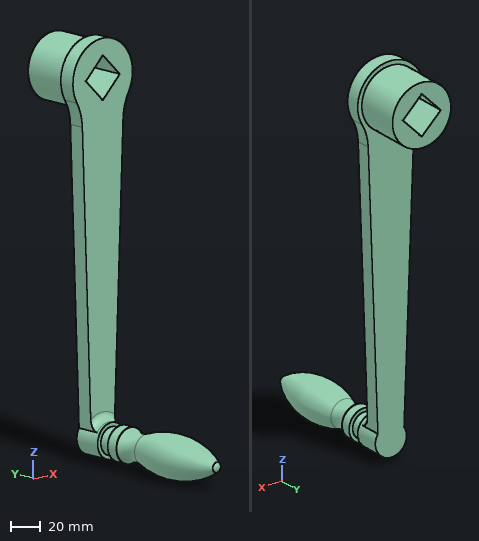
import cadquery as cq
import math


ARM_THICKNESS = 12.0
HEAD_RADIUS = 27.45
CRANK_LENGTH = 250.0
ARM_TOP_HALF_WIDTH = 20.0
ARM_END_HALF_WIDTH = 10.5
HEAD_BLEND_RADIUS = 38.1
HUB_RADIUS = 24.0
HUB_LENGTH = 36.0
SQUARE_SIDE = 22.0

BOSS_RADIUS = 13.0
BOSS_DEPTH = 20.8
BOSS_BLEND_RADIUS = 6.0

NECK_RADIUS = 10.0
COLLAR_RADIUS = BOSS_RADIUS
COLLAR_START = 30.8
COLLAR_END = 39.3
WAIST_DEPTH = 49.0
WAIST_ARC_RADIUS = 18.8
GRIP_START = 55.2
GRIP_MAX_DEPTH = 82.8
GRIP_MAX_RADIUS = 16.0
TIP_START = 125.0
HANDLE_END = 126.5


def arc_drop(arc_radius, distance):
    """Sideways departure of an arc at a distance along its tangent."""
    return arc_radius - math.sqrt(arc_radius**2 - distance**2)


def tapered_bar(depth):
    """Tapered bar from the hub axis down to the handle axis."""
    top = ARM_TOP_HALF_WIDTH
    end = ARM_END_HALF_WIDTH
    points = [(-top, 0), (top, 0), (end, -CRANK_LENGTH), (-end, -CRANK_LENGTH)]
    return cq.Workplane("XZ").polyline(points).close().extrude(depth)


def revolve_about_handle_axis(profile):
    """Revolve a (radius, -depth) profile and move it to the handle axis."""
    return profile.close().revolve(360, (0, 0), (0, 1)).translate((0, 0, -CRANK_LENGTH))


def make_arm():
    """Flat arm whose round head blends into the tapered bar."""
    head = cq.Workplane("XZ").circle(HEAD_RADIUS).extrude(ARM_THICKNESS)
    arm = head.union(tapered_bar(ARM_THICKNESS))
    corner_zone = cq.selectors.BoxSelector(
        (-HEAD_RADIUS, -ARM_THICKNESS, -HEAD_RADIUS), (HEAD_RADIUS, 0, -HEAD_RADIUS / 2)
    )
    return arm.edges("|Y").edges(corner_zone).fillet(HEAD_BLEND_RADIUS)


def make_hub():
    """Round hub behind the head."""
    return cq.Workplane("XZ").circle(HUB_RADIUS).extrude(-HUB_LENGTH)


def make_boss_blend():
    """Concave flare from the arm face to the boss, trimmed to the bar width."""
    flare_radius = BOSS_RADIUS + BOSS_BLEND_RADIUS
    flare_depth = ARM_THICKNESS + BOSS_BLEND_RADIUS
    middle = BOSS_BLEND_RADIUS * (1 - math.sqrt(0.5))
    profile = (
        cq.Workplane("XY")
        .lineTo(flare_radius, 0)
        .lineTo(flare_radius, -ARM_THICKNESS)
        .threePointArc((BOSS_RADIUS + middle, -ARM_THICKNESS - middle), (BOSS_RADIUS, -flare_depth))
        .lineTo(0, -flare_depth)
    )
    return revolve_about_handle_axis(profile).intersect(tapered_bar(flare_depth))


def make_handle():
    """Boss, neck, collar, waist and grip turned about the handle axis."""
    waist_start_radius = NECK_RADIUS + arc_drop(WAIST_ARC_RADIUS, WAIST_DEPTH - COLLAR_END)
    grip_start_radius = NECK_RADIUS + arc_drop(WAIST_ARC_RADIUS, GRIP_START - WAIST_DEPTH)

    rise = GRIP_MAX_RADIUS - grip_start_radius
    run = GRIP_MAX_DEPTH - GRIP_START
    grip_arc_radius = (run**2 + rise**2) / (2 * rise)
    tip_radius = GRIP_MAX_RADIUS - arc_drop(grip_arc_radius, TIP_START - GRIP_MAX_DEPTH)

    tip_height = HANDLE_END - TIP_START
    cap_radius = (tip_radius**2 + tip_height**2) / (2 * tip_height)
    cap_middle = tip_radius / 2
    cap_middle_depth = HANDLE_END - arc_drop(cap_radius, cap_middle)

    profile = (
        cq.Workplane("XY")
        .lineTo(BOSS_RADIUS, 0)
        .lineTo(BOSS_RADIUS, -BOSS_DEPTH)
        .lineTo(NECK_RADIUS, -BOSS_DEPTH)
        .lineTo(NECK_RADIUS, -COLLAR_START)
        .lineTo(COLLAR_RADIUS, -COLLAR_START)
        .lineTo(COLLAR_RADIUS, -COLLAR_END)
        .lineTo(waist_start_radius, -COLLAR_END)
        .threePointArc((NECK_RADIUS, -WAIST_DEPTH), (grip_start_radius, -GRIP_START))
        .threePointArc((GRIP_MAX_RADIUS, -GRIP_MAX_DEPTH), (tip_radius, -TIP_START))
        .threePointArc((cap_middle, -cap_middle_depth), (0, -HANDLE_END))
    )
    return revolve_about_handle_axis(profile)


def make_square_hole():
    """Square drive hole, standing on a corner, through head and hub."""
    hole = cq.Workplane("XZ").rect(SQUARE_SIDE, SQUARE_SIDE).extrude(HUB_LENGTH, both=True)
    return hole.rotate((0, 0, 0), (0, 1, 0), 45)


body = make_arm().union(make_hub()).union(make_handle()).union(make_boss_blend())
result = body.cut(make_square_hole())